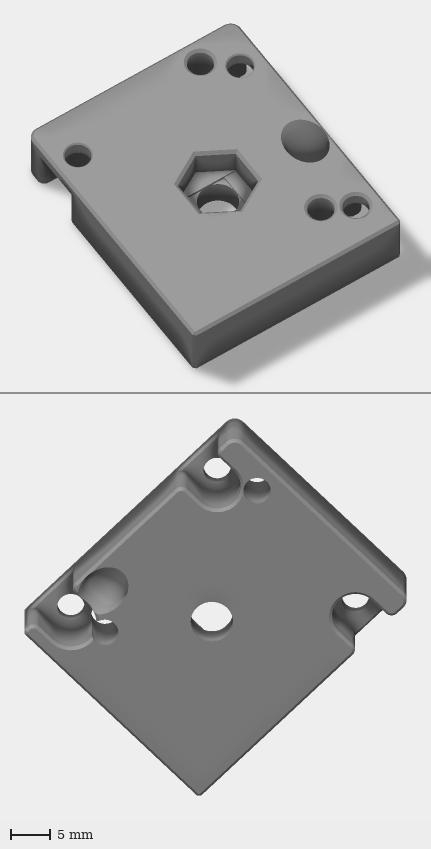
import cadquery as cq
import math

LENGTH = 38.3
WIDTH = 31.97
HEIGHT = 8.0
CORNER_RADIUS = 1.55
EDGE_CHAMFER = 0.4

BORE_DIAMETER = 3.5
SMALL_CHAMFER = 0.2
LARGE_CHAMFER = 0.4
EDGE_INSET = 3.5
LEFT_SCREW_X = 6.62
RIGHT_SCREW_X = 33.0
INNER_SCREW_Y = WIDTH - 7.4
INNER_SCREWS_X = (3.35, 30.8)

POCKET_HEIGHT = 6.05
LEFT_POCKET_WIDTH = 6.0
RIGHT_POCKET_WIDTH = 6.5
MOUTH_RADIUS = 1.0
MOUTH_CHAMFER = 0.287

NUT_X = 20.05
NUT_Y = WIDTH / 2
NUT_ACROSS_FLATS = 8.92
NUT_CHAMFER = 0.42
NUT_DEPTH = HEIGHT / 2
NUT_BORE_DIAMETER = 5.4
BRIDGE_STEP = 0.2

PASSAGE_DIAMETER = 5.75
PASSAGE_TOP_X = 21.05
PASSAGE_Y = WIDTH - 3.2
PASSAGE_TILT = 36.3


def make_block():
    """Block with rounded corners at the left end and chamfers everywhere but underneath."""
    block = cq.Workplane("XY").box(LENGTH, WIDTH, HEIGHT, centered=False)
    block = block.edges("|Z and <X").fillet(CORNER_RADIUS)
    return block.edges(">Z or (|Z and >X)").chamfer(EDGE_CHAMFER)


def screw_hole(x, y, chamfer):
    """Through bore with a chamfered top rim."""
    radius = BORE_DIAMETER / 2
    return (
        cq.Workplane("XZ", origin=(x, y, 0))
        .polyline([
            (0, 0),
            (radius, 0),
            (radius, HEIGHT - chamfer),
            (radius + chamfer, HEIGHT),
            (0, HEIGHT),
        ])
        .close()
        .revolve(360, (0, 0, 0), (0, 1, 0))
    )


def screw_pocket(x, width):
    """U-shaped pocket around a front screw, with rounded mouth sides and a chamfered mouth ceiling."""
    half_width = width / 2
    mouth_half_width = half_width + MOUTH_RADIUS
    arc_point = MOUTH_RADIUS * (1 - math.sqrt(0.5))
    mouth_height = POCKET_HEIGHT + MOUTH_CHAMFER

    plan = (
        cq.Workplane("XY", origin=(x, 0, 0))
        .moveTo(-mouth_half_width, 0)
        .threePointArc((-half_width - arc_point, arc_point), (-half_width, MOUTH_RADIUS))
        .lineTo(-half_width, EDGE_INSET)
        .threePointArc((0, EDGE_INSET + half_width), (half_width, EDGE_INSET))
        .lineTo(half_width, MOUTH_RADIUS)
        .threePointArc((half_width + arc_point, arc_point), (mouth_half_width, 0))
        .close()
        .extrude(mouth_height)
    )
    pocket_end = EDGE_INSET + width
    side_profile = (
        cq.Workplane("YZ", origin=(x, 0, 0))
        .polyline([
            (0, 0),
            (0, mouth_height),
            (MOUTH_CHAMFER, POCKET_HEIGHT),
            (pocket_end, POCKET_HEIGHT),
            (pocket_end, 0),
        ])
        .close()
        .extrude(mouth_half_width, both=True)
    )
    return plan.intersect(side_profile)


def to_back(tool):
    """Mirror a front-side tool to the back of the plate."""
    return tool.mirror("XZ", (0, WIDTH / 2, 0))


def across_corners(across_flats):
    """Corner-to-corner size of a regular hexagon."""
    return 2 * across_flats / math.sqrt(3)


def nut_recess():
    """Chamfered hexagon, two shallow bridging steps and the bore below them."""
    hex_floor = HEIGHT - NUT_DEPTH
    slot_floor = hex_floor - BRIDGE_STEP
    square_floor = slot_floor - BRIDGE_STEP
    nut_across_corners = across_corners(NUT_ACROSS_FLATS)
    slot_width = nut_across_corners / 2

    def step(length, floor, ceiling):
        return (
            cq.Workplane("XY", origin=(NUT_X, NUT_Y, floor))
            .rect(slot_width, length)
            .extrude(ceiling - floor)
        )

    nut = (
        cq.Workplane("XY", origin=(NUT_X, NUT_Y, hex_floor))
        .polygon(6, nut_across_corners)
        .extrude(NUT_DEPTH)
    )
    rim = (
        cq.Workplane("XY", origin=(NUT_X, NUT_Y, HEIGHT - NUT_CHAMFER))
        .polygon(6, nut_across_corners)
        .workplane(offset=NUT_CHAMFER)
        .polygon(6, across_corners(NUT_ACROSS_FLATS + 2 * NUT_CHAMFER))
        .loft(ruled=True)
    )
    bore = (
        cq.Workplane("XY", origin=(NUT_X, NUT_Y, 0))
        .circle(NUT_BORE_DIAMETER / 2)
        .extrude(square_floor)
    )
    return (
        nut.union(rim)
        .union(step(NUT_ACROSS_FLATS, slot_floor, hex_floor))
        .union(step(NUT_BORE_DIAMETER, square_floor, slot_floor))
        .union(bore)
    )


def sloped_passage():
    """Cylinder through the plate, long enough to clear both faces."""
    return (
        cq.Workplane("XY")
        .circle(PASSAGE_DIAMETER / 2)
        .extrude(3 * HEIGHT, both=True)
        .rotate((0, 0, 0), (0, 1, 0), -PASSAGE_TILT)
        .translate((PASSAGE_TOP_X, PASSAGE_Y, HEIGHT))
    )


left_pocket = screw_pocket(LEFT_SCREW_X, LEFT_POCKET_WIDTH)
right_pocket = screw_pocket(RIGHT_SCREW_X, RIGHT_POCKET_WIDTH)
plate = make_block().cut(left_pocket).cut(to_back(left_pocket)).cut(to_back(right_pocket))
plate = plate.faces("<Z").edges().chamfer(EDGE_CHAMFER)

left_screw = screw_hole(LEFT_SCREW_X, EDGE_INSET, SMALL_CHAMFER)
right_screw = screw_hole(RIGHT_SCREW_X, EDGE_INSET, LARGE_CHAMFER)
plate = plate.cut(left_screw).cut(to_back(left_screw)).cut(to_back(right_screw))
for screw_x in INNER_SCREWS_X:
    plate = plate.cut(screw_hole(screw_x, INNER_SCREW_Y, LARGE_CHAMFER))

result = plate.cut(nut_recess()).cut(sloped_passage())